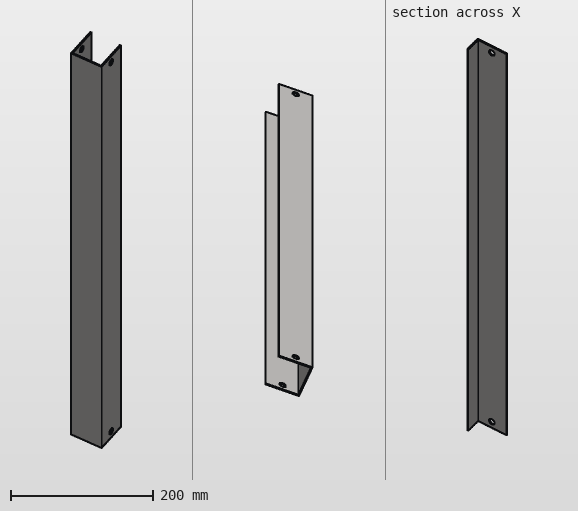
import cadquery as cq

length = 750.0
width = 51.0
depth = 51.0
wall = 2.0
hole_diameter = 10.0
hole_end_distance = 12.0

channel = cq.Workplane("XY").box(width, depth, length)
cavity = cq.Workplane("XY").box(width - 2 * wall, depth, length).translate((0, wall, 0))
result = channel.cut(cavity)

hole_height = length / 2 - hole_end_distance
holes = (
    cq.Workplane("YZ")
    .pushPoints([(0, -hole_height), (0, hole_height)])
    .circle(hole_diameter / 2)
    .extrude(width, both=True)
)
result = result.cut(holes)